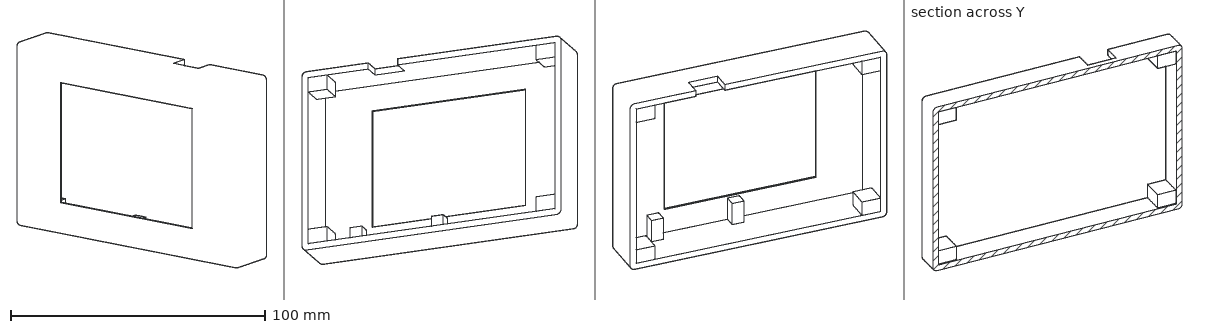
import cadquery as cq

LENGTH = 110.0
DEPTH = 19.0
HEIGHT = 75.0
EDGE_RADIUS = 2.0
WALL = 2.6
FRONT_PLATE = 0.9

WINDOW_LENGTH = 65.0
WINDOW_HEIGHT = 48.8

NOTCH_START = 69.4
NOTCH_LENGTH = 12.4
NOTCH_DEPTH = 7.3

TAB_LENGTH = 5.1
TAB_TOP = 12.2
TAB_BACK = 5.6
FIRST_TAB_START = 55.4
TAB_PITCH = 34.5
TAB_COUNT = 2

BLOCK_LENGTH = 8.0
BLOCK_DEPTH = 9.0
BLOCK_HEIGHT = 6.0


def box(x_start, y_start, z_start, length, depth, height):
    """Box placed by its lowest corner."""
    solid = cq.Workplane("XY").box(length, depth, height, centered=False)
    return solid.translate((x_start, y_start, z_start))


def make_shell():
    """Rounded box, hollow and open at the back."""
    outer = box(0, 0, 0, LENGTH, DEPTH, HEIGHT)
    outer = outer.edges("|Y").fillet(EDGE_RADIUS).faces("<Y").edges().fillet(EDGE_RADIUS)
    cavity = box(WALL, FRONT_PLATE, WALL, LENGTH - 2 * WALL, DEPTH, HEIGHT - 2 * WALL)
    return outer.cut(cavity)


def make_window():
    x_start = (LENGTH - WINDOW_LENGTH) / 2
    z_start = (HEIGHT - WINDOW_HEIGHT) / 2
    return box(x_start, 0, z_start, WINDOW_LENGTH, FRONT_PLATE, WINDOW_HEIGHT)


def make_notch():
    return box(NOTCH_START, DEPTH - NOTCH_DEPTH, HEIGHT - WALL, NOTCH_LENGTH, NOTCH_DEPTH, WALL)


def make_tab(x_start):
    return box(x_start, FRONT_PLATE, WALL, TAB_LENGTH, TAB_BACK - FRONT_PLATE, TAB_TOP - WALL)


def make_housing():
    housing = make_shell().cut(make_window()).cut(make_notch())
    for index in range(TAB_COUNT):
        housing = housing.union(make_tab(FIRST_TAB_START + index * TAB_PITCH))
    return housing


def make_corner_block(x_start, z_start):
    return box(x_start, DEPTH - BLOCK_DEPTH, z_start, BLOCK_LENGTH, BLOCK_DEPTH, BLOCK_HEIGHT)


housing = make_housing()
corner_blocks = []
for x_start in (WALL, LENGTH - WALL - BLOCK_LENGTH):
    for z_start in (WALL, HEIGHT - WALL - BLOCK_HEIGHT):
        corner_blocks.append(make_corner_block(x_start, z_start).val())

result = cq.Compound.makeCompound([housing.val(), *corner_blocks])